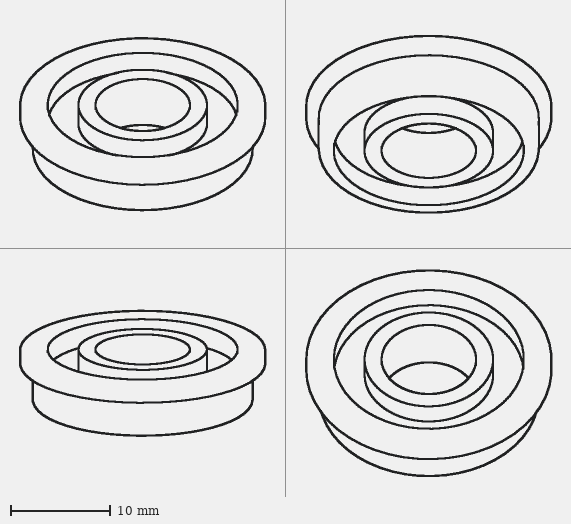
import cadquery as cq

flange_diameter = 24.77
body_diameter = 22.22
total_height = 5.55
flange_height = 1.55

bore_diameter = 9.54
inner_ring_diameter = 12.98
outer_ring_inner_diameter = 19.17
recess_depth = 2.23

flange_edge_radius = 0.12
body_edge_radius = 0.3

flange_bottom = total_height - flange_height


def disc(diameter, height, base_z):
    return cq.Workplane("XY").workplane(offset=base_z).circle(diameter / 2).extrude(height)


def annular_recess(base_z):
    return (
        cq.Workplane("XY")
        .workplane(offset=base_z)
        .circle(outer_ring_inner_diameter / 2)
        .circle(inner_ring_diameter / 2)
        .extrude(recess_depth)
    )


flange = disc(flange_diameter, flange_height, flange_bottom).edges().fillet(flange_edge_radius)
body = disc(body_diameter, total_height, 0).faces("<Z").edges().fillet(body_edge_radius)
result = body.union(flange)

for recess_base in (0, total_height - recess_depth):
    result = result.cut(annular_recess(recess_base))

result = result.cut(disc(bore_diameter, total_height, 0))